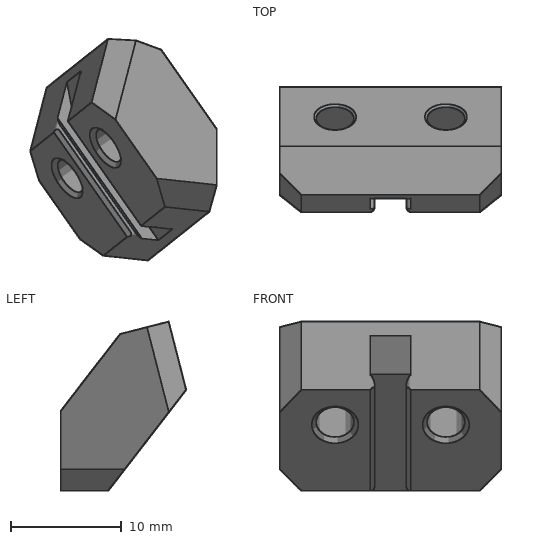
import cadquery as cq
import math

width = 20.0
depth = 11.32
height = 15.28
nose_z = 9.12
seat_foot_y = 7.05
back_z = 7.22
ridge_y = 5.95
ridge_z = 14.15
crest_y = 1.58
corner = 1.95

hole_diameter = 3.4
hole_spacing = 10.0
hole_z = 5.95
seat_countersink = 0.4
back_countersink = 0.2

slot_width = 3.65
slot_depth = 2.38
slot_top_z = 13.98
slot_floor_top_z = 10.52
lip_reach = 0.38
lip_thickness = 1.12
lip_nose_radius = 0.38
lip_foot_radius = 0.35

seat_angle = math.atan2(seat_foot_y, nose_z)
inward_y = math.cos(seat_angle)
inward_z = math.sin(seat_angle)
front_slope = crest_y / (height - nose_z)
seat_length = math.hypot(seat_foot_y, nose_z)
thickness = depth * inward_y + (back_z - nose_z) * inward_z
clearance = 6.0

seat = cq.Plane(origin=(0, 0, nose_z), xDir=(1, 0, 0), normal=(0, inward_y, inward_z))


def prism_x(points, length):
    """Sweep a (y, z) outline along X, centred on x = 0."""
    return cq.Workplane("YZ").polyline(points).close().extrude(length / 2, both=True)


def make_block():
    block = prism_x(
        [
            (depth, 0),
            (depth, back_z),
            (ridge_y, ridge_z),
            (crest_y, height),
            (0, nose_z),
            (seat_foot_y, 0),
        ],
        width,
    )
    front_angle = math.atan(front_slope)
    front = cq.Plane(
        origin=(0, 0, nose_z),
        xDir=(1, 0, 0),
        normal=(0, math.sin(front_angle), math.cos(front_angle)),
    )
    side_x = width / 2
    brow_depth = corner / math.cos(front_angle)
    for side in (-1, 1):
        brow = [(side * side_x, 0), (side * (side_x - corner), 0), (side * side_x, brow_depth)]
        upper = cq.Workplane(front).polyline(brow).close().extrude(2 * height, both=True)
        foot = [(side * side_x, 0), (side * (side_x - corner), 0), (side * side_x, corner)]
        lower = cq.Workplane("XZ").polyline(foot).close().extrude(-depth)
        block = block.cut(upper).cut(lower)
    return block


def make_hole(x):
    """Through hole with a countersink on both faces."""
    radius = hole_diameter / 2
    along = (nose_z - hole_z) / math.cos(seat_angle)
    seat_radius = radius + seat_countersink
    back_radius = radius + back_countersink
    outline = [
        (0, 0),
        (seat_radius, 0),
        (radius, seat_countersink),
        (radius, thickness - back_countersink),
        (back_radius, thickness),
        (0, thickness),
    ]
    axis_plane = cq.Plane(
        origin=seat.toWorldCoords((x, along, 0)).toTuple(),
        xDir=(1, 0, 0),
        normal=(0, -inward_z, inward_y),
    )
    return cq.Workplane(axis_plane).polyline(outline).close().revolve(360, (0, 0), (0, 1))


def make_slot():
    slot_top_y = front_slope * (slot_top_z - nose_z)
    floor_shift = slot_depth / inward_y
    seat_slope = math.tan(seat_angle)
    floor_y = (nose_z - slot_floor_top_z) * seat_slope + floor_shift
    pocket = prism_x(
        [
            (slot_top_y, slot_top_z),
            (floor_y, slot_floor_top_z),
            (nose_z * seat_slope + floor_shift, 0),
            (-clearance, 0),
            (-clearance, slot_top_z),
        ],
        slot_width,
    )
    wall = slot_width / 2
    lip_plane = cq.Plane(origin=(0, 0, nose_z), xDir=(1, 0, 0), normal=(0, -inward_z, inward_y))
    for side in (-1, 1):
        lip = [
            (side * wall, 0),
            (side * (wall - lip_reach), lip_reach),
            (side * (wall - lip_reach), lip_thickness - lip_reach),
            (side * wall, lip_thickness),
        ]
        bar = cq.Workplane(lip_plane).polyline(lip).close().extrude(2 * seat_length, both=True)
        pocket = pocket.cut(bar)
    return pocket


result = make_block()
for hole_x in (-hole_spacing / 2, hole_spacing / 2):
    result = result.cut(make_hole(hole_x))
result = result.cut(make_slot())


def lip_end_edges(body, low_z, high_z):
    """End edges of the lip crests whose centres lie in a height range."""
    tolerance = 0.002
    crest_x = slot_width / 2 - lip_reach
    return [
        e
        for e in body.edges().vals()
        if abs(abs(e.Center().x) - crest_x) < tolerance
        and e.BoundingBox().xlen < tolerance
        and low_z < e.Center().z < high_z
        and e.Length() < lip_thickness
    ]


nose_edges = lip_end_edges(result, nose_z, height)
result = result.newObject(nose_edges).fillet(lip_nose_radius)
foot_edges = lip_end_edges(result, -lip_thickness, lip_thickness)
result = result.newObject(foot_edges).fillet(lip_foot_radius)